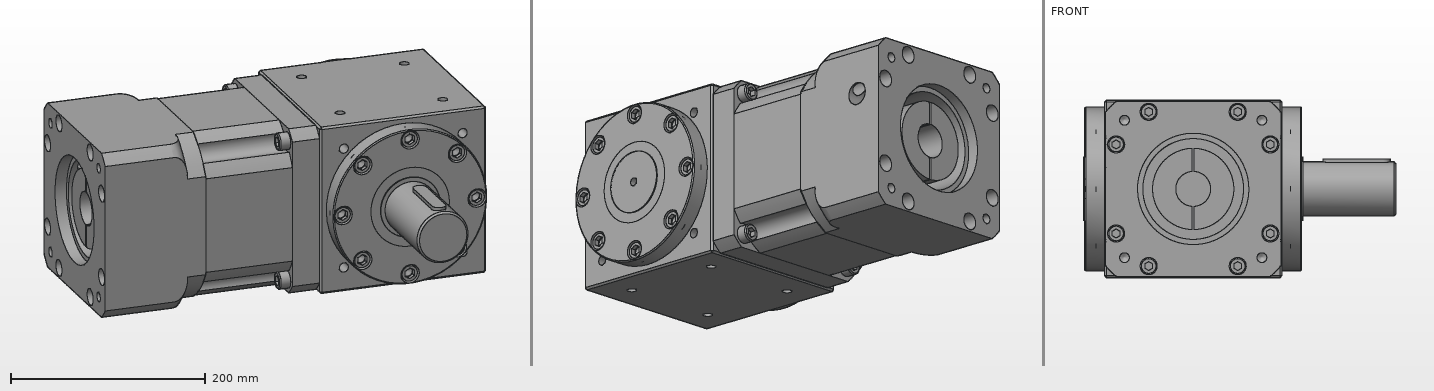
import cadquery as cq
import math


BOX_SIZE = 183.0
BOX_HALF = BOX_SIZE / 2
BOX_CHAMFER = 2.0
SIDE_HOLE_OFFSET = 65.3
TOP_HOLE_OFFSET = 56.5
MOUNT_HOLE_RADIUS = 5.0
MOUNT_HOLE_DEPTH = 21.0
DRILL_HALF_ANGLE = 59.0

FLANGE_RADIUS = 84.5
FLANGE_FACE_X = 111.7
FLANGE_CHAMFER = 1.3
FLANGE_SCREW_COUNT = 8
FLANGE_SCREW_CIRCLE = 73.5
FLANGE_BORE_RADIUS = 10.0
FLANGE_BORE_DEPTH = 11.7
FLANGE_HEAD_RADIUS = 8.5
FLANGE_HEAD_HEIGHT = 10.5
FLANGE_SOCKET_WIDTH = 10.0
FLANGE_SOCKET_DEPTH = 5.0
FLANGE_PILOT_DEPTH = 1.0

STAGE_SIZE = 180.5
STAGE_CORNER_RADIUS = 120.0
PLATE_FRONT_Y = -121.5
RING_FRONT_Y = -216.5
ADAPTER_FRONT_Y = BOX_HALF - 418.5

BOLT_OFFSET = 76.0
BOLT_HEAD_RADIUS = 9.0
BOLT_HEAD_HEIGHT = 11.7
BOLT_HEAD_CHAMFER = 1.3
BOLT_SOCKET_WIDTH = 9.0
BOLT_SOCKET_DEPTH = 6.0

RING_CORNER_RADIUS = 103.8
BOLT_GROOVE_RADIUS = 12.0

RELIEF_RADIUS = 105.0
RELIEF_FRONT_Y = -236.5
SHOULDER_ROUND = STAGE_CORNER_RADIUS - RELIEF_RADIUS
PILOT_RADIUS = 57.5
PILOT_DEPTH = 12.5
CAVITY_RADIUS = 52.0
CAVITY_FLOOR_Y = -259.5
HUB_RADIUS = 42.0
HUB_BORE_RADIUS = 18.0
HUB_SLIT_WIDTH = 2.0
MOTOR_HOLE_OFFSET = 70.7
MOTOR_HOLE_RADIUS = 5.0
MOTOR_HOLE_DEPTH = 25.0
SCREW_CIRCLE = 91.5
SCREW_ANGLES = [quarter + turn for quarter in (0, 90, 180, 270) for turn in (30, 60)]
SCREW_HOLE_RADIUS = 8.8
SCREW_HOLE_DEPTH = 83.5
SCREW_HEAD_RADIUS = 7.5
SCREW_HEAD_HEIGHT = 10.5
SCREW_SOCKET_WIDTH = 8.0
SCREW_SOCKET_DEPTH = 5.0
ACCESS_HOLE_RADIUS = 11.7
ACCESS_HOLE_Y = -296.7
ACCESS_HOLE_Z = 34.0

SEAL_RADIUS = 43.0
SHAFT_COLLAR_RADIUS = 32.5
SHAFT_COLLAR_X = 113.0
SHAFT_RADIUS = 28.0
SHAFT_END_X = 209.0
SHAFT_CHAMFER = 2.0
CENTER_HOLE_RADIUS = 4.0
CENTER_HOLE_DEPTH = 8.5
KEY_START_X = 133.5
KEY_END_X = 203.0
KEY_WIDTH = 14.5
KEY_TOP_Z = 31.0
KEY_BASE_Z = 16.7

X_AXIS = cq.Vector(1, 0, 0)
Y_AXIS = cq.Vector(0, 1, 0)
Z_AXIS = cq.Vector(0, 0, 1)


def cylinder(start, direction, radius, length):
    """Solid cylinder that starts at a point and runs along a direction."""
    return cq.Workplane(cq.Solid.makeCylinder(radius, length, cq.Vector(*start), direction))


def cylinder_along_y(x, z, radius, y_low, y_high):
    return cylinder((x, y_low, z), Y_AXIS, radius, y_high - y_low)


def drilled_hole(start, direction, radius, depth):
    """Blind hole with the conical bottom left by a drill."""
    cone_height = radius / math.tan(math.radians(DRILL_HALF_ANGLE))
    tip_base = cq.Vector(*start) + direction * depth
    tip = cq.Solid.makeCone(radius, 0, cone_height, tip_base, direction)
    return cylinder(start, direction, radius, depth).union(cq.Workplane(tip))


def hex_socket(start, direction, flat_width, depth):
    """Hexagonal recess with two of its corners in line with Z."""
    across_corners = 2 * flat_width / math.sqrt(3)
    plane = cq.Plane(origin=start, xDir=Z_AXIS, normal=direction)
    return cq.Workplane(plane).polygon(6, across_corners).extrude(depth)


def square_corners(offset):
    return [(a * offset, b * offset) for a in (-1, 1) for b in (-1, 1)]


def stage_block(y_low, y_high, corner_radius):
    """Square block along Y whose four corners are turned to a radius."""
    square = cq.Workplane("XY").box(STAGE_SIZE, y_high - y_low, STAGE_SIZE)
    square = square.translate((0, (y_low + y_high) / 2, 0))
    return square.intersect(cylinder_along_y(0, 0, corner_radius, y_low, y_high))


def flange(side):
    """Bearing flange on one X side (-1 or +1); its sunk screw heads have drilled hex sockets."""
    outward = X_AXIS * side
    inward = outward * -1
    disc = cylinder((side * BOX_HALF, 0, 0), outward, FLANGE_RADIUS, FLANGE_FACE_X - BOX_HALF)
    disc = disc.faces(">X" if side > 0 else "<X").chamfer(FLANGE_CHAMFER)
    for index in range(FLANGE_SCREW_COUNT):
        angle = 2 * math.pi * index / FLANGE_SCREW_COUNT
        y = FLANGE_SCREW_CIRCLE * math.cos(angle)
        z = FLANGE_SCREW_CIRCLE * math.sin(angle)
        floor_x = side * (FLANGE_FACE_X - FLANGE_BORE_DEPTH)
        head_x = floor_x + side * FLANGE_HEAD_HEIGHT
        disc = disc.cut(cylinder((floor_x, y, z), outward, FLANGE_BORE_RADIUS, FLANGE_BORE_DEPTH))
        disc = disc.union(cylinder((floor_x, y, z), outward, FLANGE_HEAD_RADIUS, FLANGE_HEAD_HEIGHT))
        disc = disc.cut(hex_socket((head_x, y, z), inward, FLANGE_SOCKET_WIDTH, FLANGE_SOCKET_DEPTH))
        cone_start = (head_x - side * FLANGE_SOCKET_DEPTH, y, z)
        disc = disc.cut(drilled_hole(cone_start, inward, FLANGE_SOCKET_WIDTH / 2, FLANGE_PILOT_DEPTH))
    return disc


def plate_bolt_head(x, z):
    head = cylinder_along_y(x, z, BOLT_HEAD_RADIUS, PLATE_FRONT_Y - BOLT_HEAD_HEIGHT, PLATE_FRONT_Y)
    head = head.faces("<Y").chamfer(BOLT_HEAD_CHAMFER)
    socket_start = (x, PLATE_FRONT_Y - BOLT_HEAD_HEIGHT, z)
    return head.cut(hex_socket(socket_start, Y_AXIS, BOLT_SOCKET_WIDTH, BOLT_SOCKET_DEPTH))


def make_housing():
    body = cq.Workplane("XY").box(BOX_SIZE, BOX_SIZE, BOX_SIZE).edges().chamfer(BOX_CHAMFER)
    body = body.union(stage_block(PLATE_FRONT_Y, -BOX_HALF, STAGE_CORNER_RADIUS))
    for x, z in square_corners(BOLT_OFFSET):
        body = body.union(plate_bolt_head(x, z))
    for side in (-1, 1):
        body = body.union(flange(side))
        for y, z in square_corners(SIDE_HOLE_OFFSET):
            start = (side * BOX_HALF, y, z)
            body = body.cut(drilled_hole(start, X_AXIS * -side, MOUNT_HOLE_RADIUS, MOUNT_HOLE_DEPTH))
        for x, y in square_corners(TOP_HOLE_OFFSET):
            start = (x, y, side * BOX_HALF)
            body = body.cut(drilled_hole(start, Z_AXIS * -side, MOUNT_HOLE_RADIUS, MOUNT_HOLE_DEPTH))
    return body.cut(cylinder((-FLANGE_FACE_X, 0, 0), X_AXIS, SEAL_RADIUS, 2 * FLANGE_FACE_X))


def shaft_key():
    key = cq.Workplane("XY", origin=((KEY_START_X + KEY_END_X) / 2, 0, KEY_BASE_Z))
    return key.slot2D(KEY_END_X - KEY_START_X, KEY_WIDTH).extrude(KEY_TOP_Z - KEY_BASE_Z)


def make_output_shaft():
    end = cylinder((0, 0, 0), X_AXIS, SHAFT_RADIUS, SHAFT_END_X).faces(">X").chamfer(SHAFT_CHAMFER)
    shaft = cylinder((-FLANGE_FACE_X, 0, 0), X_AXIS, SEAL_RADIUS, 2 * FLANGE_FACE_X)
    collar_start = (-SHAFT_COLLAR_X, 0, 0)
    shaft = shaft.union(cylinder(collar_start, X_AXIS, SHAFT_COLLAR_RADIUS, 2 * SHAFT_COLLAR_X))
    shaft = shaft.union(end).union(shaft_key())
    return shaft.cut(drilled_hole(collar_start, X_AXIS, CENTER_HOLE_RADIUS, CENTER_HOLE_DEPTH))


def make_gear_ring():
    ring = stage_block(RING_FRONT_Y, PLATE_FRONT_Y, RING_CORNER_RADIUS)
    for x, z in square_corners(BOLT_OFFSET):
        ring = ring.cut(cylinder_along_y(x, z, BOLT_GROOVE_RADIUS, RING_FRONT_Y, PLATE_FRONT_Y))
    return ring


def adapter_blank():
    """Square block with a turned relief and a rounded shoulder at its corners."""
    round_bottom_y = RELIEF_FRONT_Y - SHOULDER_ROUND
    arc_middle = (
        RELIEF_RADIUS + SHOULDER_ROUND * math.sin(math.pi / 4),
        round_bottom_y + SHOULDER_ROUND * math.cos(math.pi / 4),
    )
    turned = (
        cq.Workplane("XY")
        .moveTo(0, ADAPTER_FRONT_Y)
        .lineTo(STAGE_CORNER_RADIUS, ADAPTER_FRONT_Y)
        .lineTo(STAGE_CORNER_RADIUS, round_bottom_y)
        .threePointArc(arc_middle, (RELIEF_RADIUS, RELIEF_FRONT_Y))
        .lineTo(RELIEF_RADIUS, RING_FRONT_Y)
        .lineTo(0, RING_FRONT_Y)
        .close()
        .revolve(360, (0, 0, 0), (0, 1, 0))
    )
    return turned.intersect(stage_block(ADAPTER_FRONT_Y, RING_FRONT_Y, STAGE_CORNER_RADIUS))


def clamping_hub():
    """Split hub that stands on the floor of the adapter cavity."""
    hub_front_y = ADAPTER_FRONT_Y + PILOT_DEPTH
    length = CAVITY_FLOOR_Y - hub_front_y
    hub = cylinder_along_y(0, 0, HUB_RADIUS, hub_front_y, CAVITY_FLOOR_Y)
    hub = hub.cut(cylinder_along_y(0, 0, HUB_BORE_RADIUS, hub_front_y, CAVITY_FLOOR_Y))
    slit = cq.Workplane("XY").box(HUB_SLIT_WIDTH, length, 2 * HUB_RADIUS)
    return hub.cut(slit.translate((0, hub_front_y + length / 2, 0)))


def cut_screw_hole(adapter, x, z):
    """Deep counterbore with a socket screw head on its floor."""
    floor_y = ADAPTER_FRONT_Y + SCREW_HOLE_DEPTH
    head_y = floor_y - SCREW_HEAD_HEIGHT
    adapter = adapter.cut(cylinder_along_y(x, z, SCREW_HOLE_RADIUS, ADAPTER_FRONT_Y, floor_y))
    adapter = adapter.union(cylinder_along_y(x, z, SCREW_HEAD_RADIUS, head_y, floor_y))
    return adapter.cut(hex_socket((x, head_y, z), Y_AXIS, SCREW_SOCKET_WIDTH, SCREW_SOCKET_DEPTH))


def make_motor_adapter():
    adapter = adapter_blank()
    pilot_floor_y = ADAPTER_FRONT_Y + PILOT_DEPTH
    adapter = adapter.cut(cylinder_along_y(0, 0, PILOT_RADIUS, ADAPTER_FRONT_Y, pilot_floor_y))
    adapter = adapter.cut(cylinder_along_y(0, 0, CAVITY_RADIUS, pilot_floor_y, CAVITY_FLOOR_Y))
    access_start = (-STAGE_SIZE / 2, ACCESS_HOLE_Y, ACCESS_HOLE_Z)
    adapter = adapter.cut(cylinder(access_start, X_AXIS, ACCESS_HOLE_RADIUS, STAGE_SIZE / 2))
    adapter = adapter.union(clamping_hub())
    for x, z in square_corners(MOTOR_HOLE_OFFSET):
        start = (x, ADAPTER_FRONT_Y, z)
        adapter = adapter.cut(drilled_hole(start, Y_AXIS, MOTOR_HOLE_RADIUS, MOTOR_HOLE_DEPTH))
    for angle in SCREW_ANGLES:
        x = SCREW_CIRCLE * math.cos(math.radians(angle))
        z = SCREW_CIRCLE * math.sin(math.radians(angle))
        adapter = cut_screw_hole(adapter, x, z)
    return adapter


housing = make_housing()
output_shaft = make_output_shaft()
gear_ring = make_gear_ring()
motor_adapter = make_motor_adapter()

result = cq.Compound.makeCompound(
    [body.solids().val() for body in (housing, output_shaft, gear_ring, motor_adapter)]
)